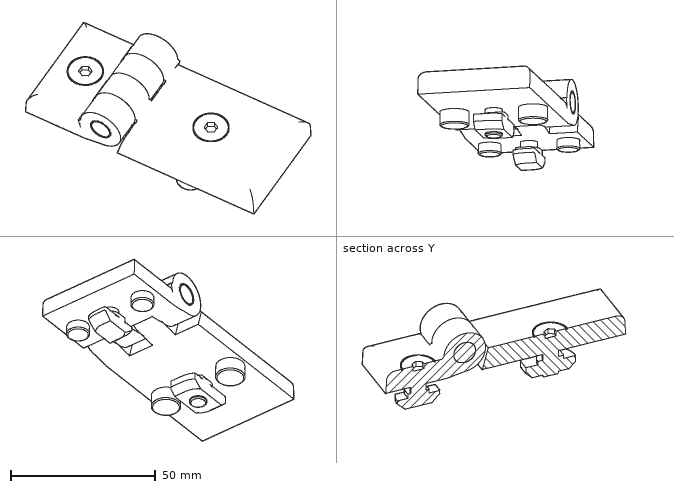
import cadquery as cq
import math


HINGE_LENGTH = 91.05
HINGE_WIDTH = 40.0
LEFT_REACH = 30.0
RIGHT_REACH = HINGE_LENGTH - LEFT_REACH
PLATE_THICKNESS = 8.65
END_DRAFT = math.radians(3)
EDGE_ROUND = 3.5
SLOT_WALL_LEAN = math.radians(15)

AXIS_HEIGHT = 9.0
KNUCKLE_RADIUS = 8.0
KNUCKLE_WIDTH = HINGE_WIDTH / 4
KNUCKLE_STARTS = (-KNUCKLE_WIDTH, KNUCKLE_WIDTH)
ROOT_FILLET = 0.9

PIN_DIAMETER = 8.0
PIN_CHAMFER = 0.5

SCREW_DIAMETER = 6.0
SCREW_TIP_CHAMFER = 0.5
HEAD_DIAMETER = 12.0
HEAD_GAP = 0.3
HEAD_GAP_DEPTH = 0.5
HEX_ACROSS_FLATS = 4.0
HEX_DEPTH = 2.0
LEFT_SCREW_X = 17.5
RIGHT_SCREW_X = 32.6
RIGHT_SCREW_DEPTH = 9.5

PEG_SPACING = 28.0
PEG_CHAMFER = 0.5
PEG_FLARE = 0.1
LEFT_PEG_DIAMETER = 8.0
LEFT_PEG_LENGTH = 3.5
RIGHT_PEG_DIAMETER = 10.2
RIGHT_PEG_LENGTH = 5.0

NUT_BOTTOM_DEPTH = 8.6
NUT_CORNER_ROUND = 0.55
COLLAR_CORNER_ROUND = 1.1
COLLAR_SWEEP_SHARE = 0.48
LEFT_NUT = {"length": 16.2, "width": 8.0, "collar": 2.5, "shoulder": 4.1, "bevel": 3.0}
RIGHT_NUT = {"length": 18.9, "width": 9.8, "collar": 2.2, "shoulder": 3.55, "bevel": 2.5}

ROOT_X = math.sqrt((KNUCKLE_RADIUS + ROOT_FILLET) ** 2 - (PLATE_THICKNESS + ROOT_FILLET - AXIS_HEIGHT) ** 2)
SLOT_FOOT_X = ROOT_X - PLATE_THICKNESS * math.tan(SLOT_WALL_LEAN)


def side_profile(y_start):
    """Sketch plane for an outline in X and Z that is extruded towards +Y from y_start."""
    return cq.Workplane(cq.Plane(origin=(0, y_start, 0), xDir=(1, 0, 0), normal=(0, -1, 0)))


def make_plate(reach):
    """Plate with a drafted far end, a leaning slot wall and rounded top edges."""
    top_reach = reach - PLATE_THICKNESS * math.tan(END_DRAFT)
    outline = [(SLOT_FOOT_X, 0), (reach, 0), (top_reach, PLATE_THICKNESS), (ROOT_X, PLATE_THICKNESS)]
    plate = side_profile(-HINGE_WIDTH / 2).polyline(outline).close().extrude(-HINGE_WIDTH)
    return plate.faces(">Z").edges("|X or >X").fillet(EDGE_ROUND)


def make_knuckle(y_start):
    """Barrel around the pin with the web that joins it to the plate."""
    root_center_z = PLATE_THICKNESS + ROOT_FILLET
    root_angle = math.atan2(root_center_z - AXIS_HEIGHT, ROOT_X)
    tangent_point = (
        KNUCKLE_RADIUS * math.cos(root_angle),
        AXIS_HEIGHT + KNUCKLE_RADIUS * math.sin(root_angle),
    )
    middle_angle = (math.pi + root_angle + 1.5 * math.pi) / 2
    fillet_middle = (
        ROOT_X + ROOT_FILLET * math.cos(middle_angle),
        root_center_z + ROOT_FILLET * math.sin(middle_angle),
    )
    barrel_bottom = (0, AXIS_HEIGHT - KNUCKLE_RADIUS)
    return (
        side_profile(y_start)
        .moveTo(SLOT_FOOT_X, 0)
        .lineTo(ROOT_X, PLATE_THICKNESS)
        .threePointArc(fillet_middle, tangent_point)
        .threePointArc((-KNUCKLE_RADIUS, AXIS_HEIGHT), barrel_bottom)
        .close()
        .extrude(-KNUCKLE_WIDTH)
    )


def make_pin_blank():
    """Plain rod as long as the hinge is wide; also the cutter for the pin hole."""
    return (
        side_profile(-HINGE_WIDTH / 2)
        .center(0, AXIS_HEIGHT)
        .circle(PIN_DIAMETER / 2)
        .extrude(-HINGE_WIDTH)
    )


def make_head_cutters():
    """Cutters for the ring gap around the flush screw head and for its hexagon socket."""
    plate_top = cq.Workplane("XY", origin=(0, 0, PLATE_THICKNESS))
    gap = plate_top.circle(HEAD_DIAMETER / 2 + HEAD_GAP).circle(HEAD_DIAMETER / 2).extrude(-HEAD_GAP_DEPTH)
    hex_across_corners = HEX_ACROSS_FLATS / math.cos(math.pi / 6)
    socket = plate_top.transformed(rotate=(0, 0, 90)).polygon(6, hex_across_corners).extrude(-HEX_DEPTH)
    return gap, socket


def make_screw_shank(depth):
    """Screw shank below the plate, chamfered at its tip."""
    shank = cq.Workplane("XY").circle(SCREW_DIAMETER / 2).extrude(-depth)
    return shank.faces("<Z").chamfer(SCREW_TIP_CHAMFER)


def make_peg(diameter, length):
    """Locating peg that flares slightly towards a chamfered rim."""
    rim_radius = diameter / 2
    outline = [
        (0, 0),
        (rim_radius - PEG_FLARE / 2, 0),
        (rim_radius, PEG_CHAMFER - length),
        (rim_radius - PEG_CHAMFER, -length),
        (0, -length),
    ]
    return cq.Workplane("XZ").polyline(outline).close().revolve(360, (0, 0), (0, 1))


def make_nut(length, width, collar, shoulder, bevel):
    """Hammer nut with two opposite ends swept round, so that it can turn in its groove."""
    half_length = length / 2
    half_end = [
        (0, -shoulder),
        (half_length, -shoulder),
        (half_length, bevel - NUT_BOTTOM_DEPTH),
        (half_length - bevel, -NUT_BOTTOM_DEPTH),
        (0, -NUT_BOTTOM_DEPTH),
    ]
    mirrored_end = [(-x, z) for x, z in reversed(half_end[1:-1])]
    bar = side_profile(-width / 2).polyline(half_end + mirrored_end).close().extrude(-width)
    bar = bar.edges("|Z").fillet(NUT_CORNER_ROUND)

    envelope = cq.Workplane("XZ").polyline(half_end).close().revolve(360, (0, 0), (0, 1))
    for side in (1, -1):
        square_corner = (
            cq.Workplane("XY")
            .center(side * half_length / 2, -side * width / 4)
            .rect(half_length, width / 2)
            .extrude(-NUT_BOTTOM_DEPTH)
        )
        envelope = envelope.union(square_corner)
    hammer = bar.intersect(envelope)

    neck = cq.Workplane("XY", origin=(0, 0, -shoulder)).rect(width, width).extrude(shoulder - collar)
    neck = neck.edges("(|Z and <X and >Y) or (|Z and >X and <Y)").fillet(COLLAR_SWEEP_SHARE * width)
    neck = neck.edges("(|Z and <X and <Y) or (|Z and >X and >Y)").fillet(COLLAR_CORNER_ROUND)
    return hammer.union(neck)


def make_leaf(reach, screw_x, screw_depth, peg_diameter, peg_length, nut):
    """One leaf along +X with its knuckles, screw, nut and pegs."""
    leaf = make_plate(reach)
    for y_start in KNUCKLE_STARTS:
        leaf = leaf.union(make_knuckle(y_start))
    leaf = leaf.cut(make_pin_blank())
    for cutter in make_head_cutters():
        leaf = leaf.cut(cutter.translate((screw_x, 0, 0)))
    leaf = leaf.union(make_screw_shank(screw_depth).translate((screw_x, 0, 0)))
    leaf = leaf.union(nut.translate((screw_x, 0, 0)))
    for side in (-1, 1):
        peg = make_peg(peg_diameter, peg_length)
        leaf = leaf.union(peg.translate((screw_x, side * PEG_SPACING / 2, 0)))
    return leaf


right_leaf = make_leaf(
    RIGHT_REACH, RIGHT_SCREW_X, RIGHT_SCREW_DEPTH, RIGHT_PEG_DIAMETER, RIGHT_PEG_LENGTH,
    make_nut(**RIGHT_NUT),
)

left_leaf = make_leaf(
    LEFT_REACH, LEFT_SCREW_X, NUT_BOTTOM_DEPTH, LEFT_PEG_DIAMETER, LEFT_PEG_LENGTH,
    make_nut(**LEFT_NUT).mirror("XZ"),
).rotate((0, 0, 0), (0, 0, 1), 180)

pin = make_pin_blank().faces("<Y or >Y").chamfer(PIN_CHAMFER)

result = cq.Compound.makeCompound([left_leaf.val(), right_leaf.val(), pin.val()])